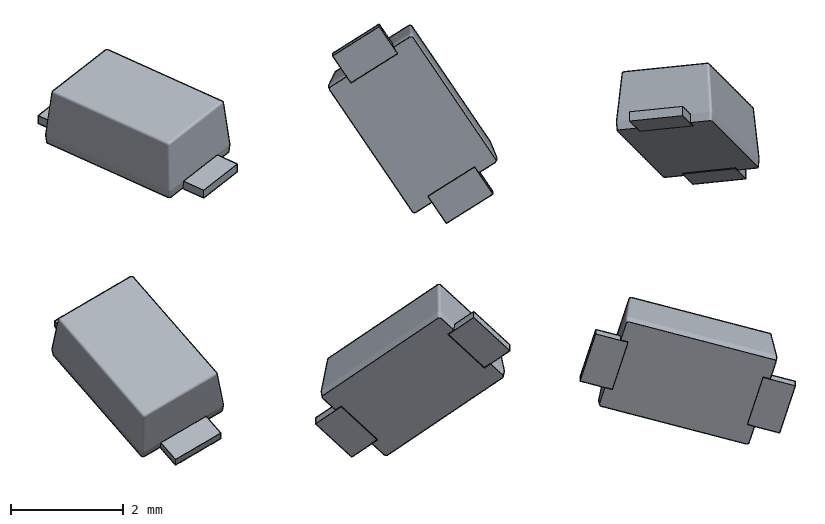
import cadquery as cq

overall_length = 3.7
overall_height = 1.14

body_length = 2.8
body_width = 1.8
body_draft = 5.0
edge_radius = 0.048

lead_length = 0.6
lead_width = 0.99
lead_thickness = 0.175
standoff = 0.02

parting_height = lead_thickness


def body_half(height):
    """Drafted block from the parting plane, upward for a positive height, downward for a negative one."""
    return (
        cq.Workplane("XY", origin=(0, 0, parting_height))
        .rect(body_length, body_width)
        .extrude(height, taper=body_draft)
    )


def moulded_body():
    """Both drafted halves, with the corner edges and the top rim rounded."""
    upper = body_half(overall_height - parting_height)
    lower = body_half(standoff - parting_height)
    body = upper.union(lower)
    corner_edges = body.edges("not(#Z)")
    return corner_edges.add(body.faces(">Z").edges()).fillet(edge_radius)


def lead(side):
    """Flat lead at one end of the body; side is -1 or +1 along X."""
    center_x = side * (overall_length - lead_length) / 2
    return (
        cq.Workplane("XY", origin=(center_x, 0, 0))
        .rect(lead_length, lead_width)
        .extrude(lead_thickness)
    )


result = moulded_body()
for side in (-1, 1):
    result = result.union(lead(side))